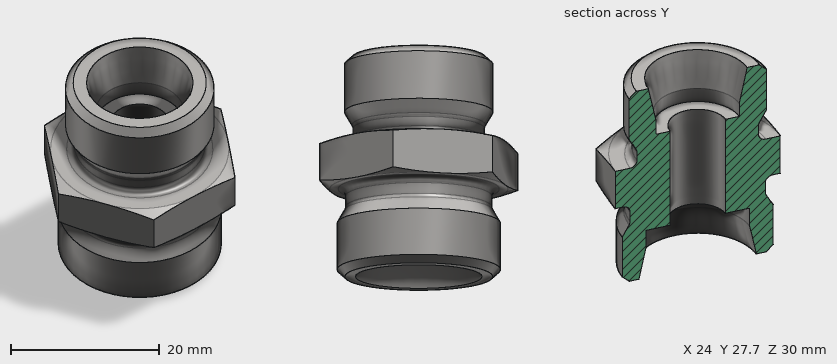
import cadquery as cq
import math

total_height = 30.0
hex_bottom = 12.0
hex_top = 18.0
hex_across_flats = 24.0
hex_chamfer_angle = 15.0
hex_across_corners = hex_across_flats / math.cos(math.radians(30))

upper_radius = 20.0 / 2
upper_neck_radius = 17.7 / 2
upper_thread_start = 22.53
lower_radius = 22.0 / 2
lower_neck_radius = 19.7 / 2
lower_thread_end = 7.3
runout_angle = 30.0
end_chamfer_width = 1.05
end_chamfer_height = 0.95
neck_fillet = 1.0

bore_diameter = 8.0
socket_half_angle = 12.0
upper_socket_diameter = 12.0
upper_mouth_diameter = 14.3
lower_socket_diameter = 15.0
lower_mouth_diameter = 17.0
socket_depth = 7.5


def make_hexagon():
    """Hexagon with flats facing -X and +X, its corners turned down to a cone at both faces."""
    height = hex_top - hex_bottom
    hexagon = (
        cq.Workplane("XY", origin=(0, 0, hex_bottom))
        .polygon(6, hex_across_corners)
        .extrude(height)
        .rotate((0, 0, 0), (0, 0, 1), 30)
    )
    flat_radius = hex_across_flats / 2
    corner_radius = hex_across_corners / 2
    drop = (corner_radius - flat_radius) * math.tan(math.radians(hex_chamfer_angle))
    envelope = (
        cq.Workplane("XZ")
        .moveTo(0, hex_bottom)
        .lineTo(flat_radius, hex_bottom)
        .lineTo(corner_radius, hex_bottom + drop)
        .lineTo(corner_radius, hex_top - drop)
        .lineTo(flat_radius, hex_top)
        .lineTo(0, hex_top)
        .close()
        .revolve(360, (0, 0, 0), (0, 1, 0))
    )
    return hexagon.intersect(envelope)


def make_threaded_end(radius, neck_radius, thread_end, outer_z, hex_z):
    """Turned end: chamfered thread, tapered runout, and a neck with a fillet at each end."""
    inward = math.copysign(1, hex_z - outer_z)
    fillet_z = hex_z - inward * neck_fillet
    mid_offset = neck_fillet * (1 - math.sqrt(0.5))
    taper = math.radians(runout_angle)
    neck_end = thread_end + inward * (radius - neck_radius) / math.tan(taper)

    tangent_length = neck_fillet * math.tan(taper / 2)
    runout_arc_z = neck_end + inward * tangent_length

    def runout_arc_point(angle):
        return (
            neck_radius + neck_fillet * (1 - math.cos(angle)),
            runout_arc_z - inward * neck_fillet * math.sin(angle),
        )

    return (
        cq.Workplane("XZ")
        .moveTo(0, outer_z)
        .lineTo(radius - end_chamfer_width, outer_z)
        .lineTo(radius, outer_z + inward * end_chamfer_height)
        .lineTo(radius, thread_end)
        .lineTo(*runout_arc_point(taper))
        .threePointArc(runout_arc_point(taper / 2), (neck_radius, runout_arc_z))
        .lineTo(neck_radius, fillet_z)
        .threePointArc(
            (neck_radius + mid_offset, hex_z - inward * mid_offset),
            (neck_radius + neck_fillet, hex_z),
        )
        .lineTo(0, hex_z)
        .close()
        .revolve(360, (0, 0, 0), (0, 1, 0))
    )


def make_socket(mouth_diameter, socket_diameter, outer_z, inward):
    """Cutter for a tapered mouth that leads into a flat-bottomed cylinder."""
    taper_depth = (mouth_diameter - socket_diameter) / 2 / math.tan(math.radians(socket_half_angle))
    return (
        cq.Workplane("XZ")
        .moveTo(0, outer_z)
        .lineTo(mouth_diameter / 2, outer_z)
        .lineTo(socket_diameter / 2, outer_z + inward * taper_depth)
        .lineTo(socket_diameter / 2, outer_z + inward * socket_depth)
        .lineTo(0, outer_z + inward * socket_depth)
        .close()
        .revolve(360, (0, 0, 0), (0, 1, 0))
    )


upper_end = make_threaded_end(
    upper_radius, upper_neck_radius, upper_thread_start, total_height, hex_top
)
lower_end = make_threaded_end(
    lower_radius, lower_neck_radius, lower_thread_end, 0, hex_bottom
)
upper_socket = make_socket(upper_mouth_diameter, upper_socket_diameter, total_height, -1)
lower_socket = make_socket(lower_mouth_diameter, lower_socket_diameter, 0, 1)
bore = cq.Workplane("XY").circle(bore_diameter / 2).extrude(total_height)

result = make_hexagon().union(upper_end).union(lower_end)
result = result.cut(upper_socket).cut(lower_socket).cut(bore)